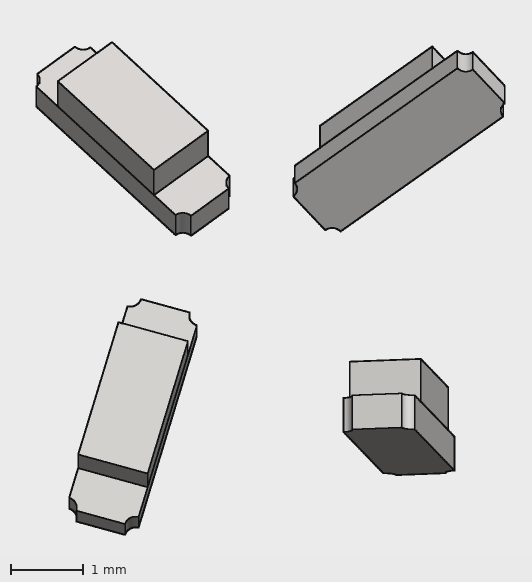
import cadquery as cq

base_length = 3.2
width = 1.0
total_height = 1.08
base_height = 0.48
block_length = 2.0
notch_radius = 0.15

block_height = total_height - base_height


def make_base():
    """Flat board with a quarter-round notch down each vertical corner edge."""
    board = cq.Workplane("XY").box(base_length, width, base_height, centered=(True, True, False))
    notches = (
        cq.Workplane("XY")
        .rect(base_length, width, forConstruction=True)
        .vertices()
        .circle(notch_radius)
        .extrude(base_height)
    )
    return board.cut(notches).solids()


def make_block():
    """Plain block of the same width, resting on the middle of the base."""
    return (
        cq.Workplane("XY")
        .workplane(offset=base_height)
        .box(block_length, width, block_height, centered=(True, True, False))
    )


base = make_base()
block = make_block()

result = cq.Compound.makeCompound([base.val(), block.val()])